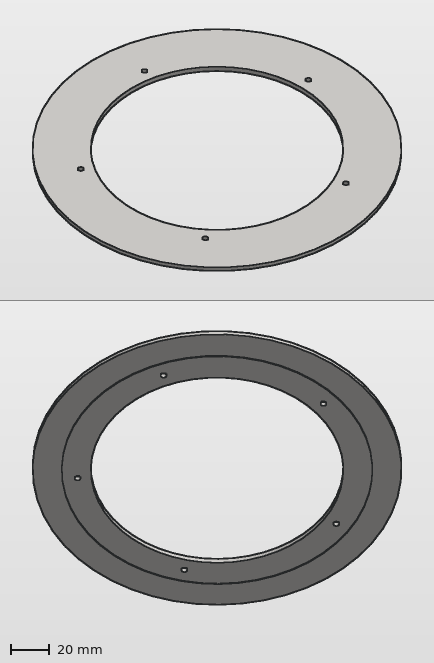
import cadquery as cq

outer_diameter = 190.0
bore_diameter = 130.0
step_diameter = 160.0
total_thickness = 3.0
step_height = 0.5
plate_thickness = total_thickness - step_height

hole_count = 5
hole_diameter = 3.0
hole_circle_diameter = 144.0


def make_body():
    """Stepped disc: the narrow ring below, the wide plate above."""
    ring = cq.Workplane("XY").circle(step_diameter / 2).extrude(step_height)
    plate = (
        cq.Workplane("XY")
        .workplane(offset=step_height)
        .circle(outer_diameter / 2)
        .extrude(plate_thickness)
    )
    return ring.union(plate)


def make_bore():
    """Central opening through the full thickness."""
    return cq.Workplane("XY").circle(bore_diameter / 2).extrude(total_thickness)


def make_screw_holes():
    """Evenly spaced through holes, the first one on the +X axis."""
    return (
        cq.Workplane("XY")
        .polarArray(hole_circle_diameter / 2, 0, 360, hole_count)
        .circle(hole_diameter / 2)
        .extrude(total_thickness)
    )


result = make_body().cut(make_bore()).cut(make_screw_holes())